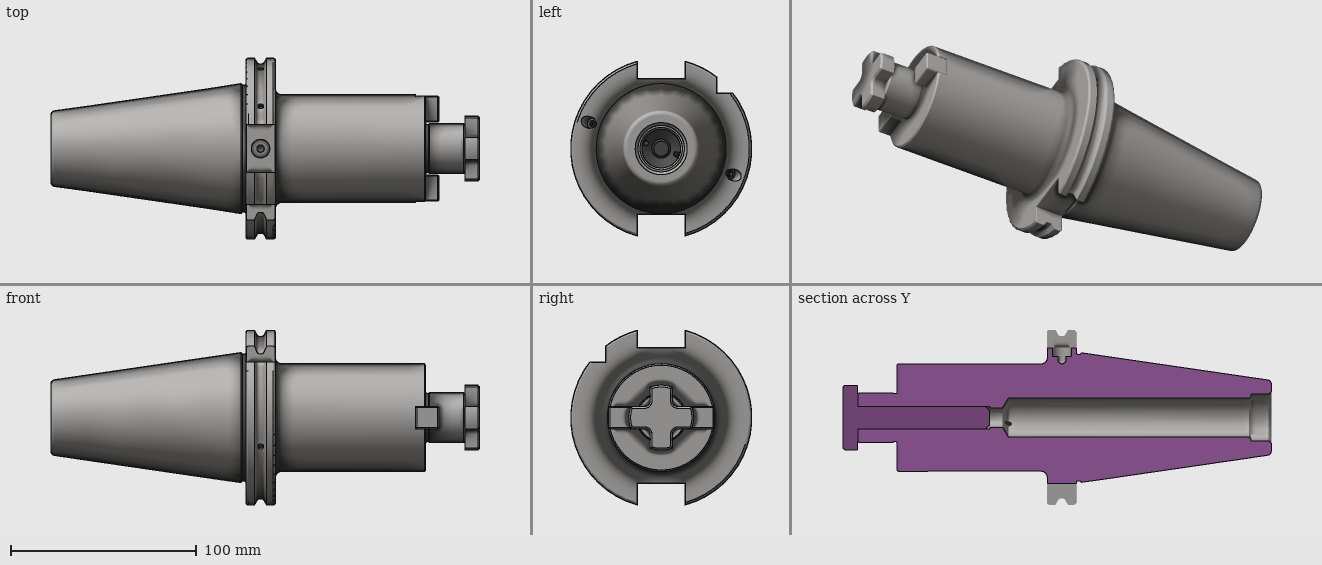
import cadquery as cq
import math


gauge_radius = 69.85 / 2
taper_length = 101.75
taper_ratio = 7 / 48
small_end_radius = gauge_radius - taper_length * taper_ratio
small_end_fillet = 2.5
taper_end = 0.6
relief_depth = 0.7

flange_radius = 97.5 / 2
flange_front = 3.2
flange_width = 15.9
flange_back = flange_front + flange_width
flange_fillet = 1.3
groove_center = 11.1
groove_bottom_radius = 91.25 / 2
groove_half_width = 3.3
groove_wall_angle = 30
groove_fillet = 1.4

slot_width = 25.7
upper_slot_floor = 37.7
lower_slot_floor = 35.5
notch_wall = 30.0
notch_floor = 30.0
slot_edge_chamfer = 0.3
slot_overrun = 1.0

chip_hole_diameter = 10.0
chip_hole_depth = 4.6
chip_pilot_diameter = 4.0
chip_pilot_depth = 3.0
drill_point_angle = 118

body_radius = 29.0
body_front = 100.0
body_chamfer = 0.8
body_fillet = 3.3
spigot_radius = 27.0 / 2
spigot_length = 21.0
spigot_front = body_front + spigot_length
spigot_chamfer = 0.7
undercut_width = 2.0
undercut_depth = 0.5

pilot_radius = 12.5
pilot_depth = 11.0
mouth_chamfer = 1.5
thread_radius = 10.4
thread_chamfer = 1.0
passage_radius = 5.1
bore_cone_end = 43.0

screw_radius = 6.0
screw_tip = 50.0
screw_tip_chamfer = 2.0
head_radius = 17.5
head_thickness = 8.0
head_chamfer = 1.0
lobe_width = 12.0
lobe_fillet = 3.0

key_width = 12.0
key_inner = 14.2
key_outer = 28.3
key_back = 94.6
key_front = 107.0
key_edge_chamfer = 0.6

channel_angle = 20
channel_tilt = 40
channel_radius_at_flange = 41.6
channel_end_radius = 8.5
channel_diameter = 3.2
plug_diameter = 6.2
plug_recess = 3.0
plug_length = 5.0
socket_across_corners = 3.5
socket_depth = 2.5
radial_hole_diameter = 3.0
radial_hole_depth = 3.0
radial_hole_angles = (channel_angle, channel_angle + 180, 60)

axis_start = (0, 0, 0)
axis_end = (1, 0, 0)


def x_cylinder(start, end, radius):
    return cq.Workplane("YZ", origin=(start, 0, 0)).circle(radius).extrude(end - start)


def turn(profile):
    return profile.close().revolve(360, axis_start, axis_end)


def about_axis(shape, angle):
    return shape.rotate(axis_start, axis_end, angle)


def box_between(low, high):
    size = [b - a for a, b in zip(low, high)]
    return cq.Workplane("XY").box(*size, centered=False).translate(low)


def taper_and_front():
    """Taper, core of the flange, front body and spigot as one turned shape."""
    relief_radius = gauge_radius - relief_depth
    undercut_radius = spigot_radius - undercut_depth
    taper_end_radius = gauge_radius + taper_end * taper_ratio
    profile = (
        cq.Workplane("XZ")
        .moveTo(-taper_length, 0)
        .lineTo(-taper_length, small_end_radius)
        .lineTo(taper_end, taper_end_radius)
        .lineTo(taper_end + relief_depth, relief_radius)
        .lineTo(flange_front - relief_depth, relief_radius)
        .radiusArc((flange_front, gauge_radius), -relief_depth)
        .lineTo(flange_back, gauge_radius)
        .lineTo(flange_back, body_radius + body_fillet)
        .radiusArc((flange_back + body_fillet, body_radius), -body_fillet)
        .lineTo(body_front - body_chamfer, body_radius)
        .lineTo(body_front, body_radius - body_chamfer)
        .lineTo(body_front, spigot_radius)
        .radiusArc((body_front + undercut_depth, undercut_radius), -undercut_depth)
        .lineTo(body_front + undercut_width - undercut_depth, undercut_radius)
        .lineTo(body_front + undercut_width, spigot_radius)
        .lineTo(spigot_front - spigot_chamfer, spigot_radius)
        .lineTo(spigot_front, spigot_radius - spigot_chamfer)
        .lineTo(spigot_front, 0)
    )
    return turn(profile).faces("<X").edges().fillet(small_end_fillet)


def groove():
    """Ring cutter for the V groove with its rounded bottom corners."""
    wall_slope = math.tan(math.radians(groove_wall_angle))
    depth = flange_radius - groove_bottom_radius
    bottom_half_width = groove_half_width - depth * wall_slope
    cutter_radius = flange_radius + flange_fillet
    top_half_width = groove_half_width + flange_fillet * wall_slope
    ring = turn(
        cq.Workplane("XZ")
        .moveTo(groove_center - top_half_width, cutter_radius)
        .lineTo(groove_center - bottom_half_width, groove_bottom_radius)
        .lineTo(groove_center + bottom_half_width, groove_bottom_radius)
        .lineTo(groove_center + top_half_width, cutter_radius)
    )
    on_bottom = cq.selectors.RadiusNthSelector(0)
    bottom_edges = ring.edges("%CIRCLE").edges(
        cq.selectors.BoxSelector(
            (groove_center - groove_half_width, -cutter_radius, -cutter_radius),
            (groove_center + groove_half_width, cutter_radius, cutter_radius),
        )
    )
    return bottom_edges.edges(on_bottom).fillet(groove_fillet)


def flared_cutter(low_y, high_y, low_z, high_z):
    """Block through the flange that widens at both faces to break the slot's edges."""
    block = box_between((flange_front, low_y, low_z), (flange_back, high_y, high_z))
    width = high_y - low_y + 2 * slot_edge_chamfer
    height = high_z - low_z + 2 * slot_edge_chamfer
    middle = ((low_y + high_y) / 2, (low_z + high_z) / 2)
    for face_x, inward in ((flange_front, 1), (flange_back, -1)):
        plane = cq.Plane(origin=(face_x, *middle), xDir=(0, 1, 0), normal=(inward, 0, 0))
        flare = cq.Workplane(plane).rect(width, height).extrude(slot_edge_chamfer, taper=45)
        block = block.union(flare)
    return block


def flange_cutters():
    """Upper and lower slots and the corner notch, each right through the flange."""
    half = slot_width / 2
    far = flange_radius + slot_overrun
    return [
        flared_cutter(-half, half, upper_slot_floor, far),
        flared_cutter(-half, half, -far, -lower_slot_floor),
        flared_cutter(-far, -notch_wall, notch_floor, far),
    ]


def flange():
    ring = x_cylinder(flange_front, flange_back, flange_radius).edges().fillet(flange_fillet)
    ring = ring.cut(groove())
    for cutter in flange_cutters():
        ring = ring.cut(cutter)
    return ring


def rear_bore():
    """Pilot bore, thread bore, drill cone and passage up to the screw hole."""
    pilot_end = pilot_depth - taper_length
    point_slope = math.tan(math.radians(drill_point_angle / 2))
    cone_start = bore_cone_end - (thread_radius - passage_radius) / point_slope
    return turn(
        cq.Workplane("XZ")
        .moveTo(-taper_length, 0)
        .lineTo(-taper_length, pilot_radius + mouth_chamfer)
        .lineTo(mouth_chamfer - taper_length, pilot_radius)
        .lineTo(pilot_end, pilot_radius)
        .lineTo(pilot_end, thread_radius + thread_chamfer)
        .lineTo(pilot_end + thread_chamfer, thread_radius)
        .lineTo(cone_start, thread_radius)
        .lineTo(bore_cone_end, passage_radius)
        .lineTo(screw_tip, passage_radius)
        .lineTo(screw_tip, 0)
    )


def chip_hole():
    pilot_floor = upper_slot_floor - chip_hole_depth - chip_pilot_depth
    pilot_hole_radius = chip_pilot_diameter / 2
    point_depth = pilot_hole_radius / math.tan(math.radians(drill_point_angle / 2))
    profile = (
        cq.Workplane("XZ")
        .moveTo(0, upper_slot_floor)
        .lineTo(chip_hole_diameter / 2, upper_slot_floor)
        .lineTo(chip_hole_diameter / 2, upper_slot_floor - chip_hole_depth)
        .lineTo(pilot_hole_radius, upper_slot_floor - chip_hole_depth)
        .lineTo(pilot_hole_radius, pilot_floor)
        .lineTo(0, pilot_floor - point_depth)
        .close()
    )
    return profile.revolve(360, (0, 0, 0), (0, 1, 0)).translate((groove_center, 0, 0))


def channel_plane():
    """Plane at the channel mouth on the +Y side, with its normal running into the part."""
    tilt = math.radians(channel_tilt)
    return cq.Plane(
        origin=(flange_front, channel_radius_at_flange, 0),
        xDir=(0, 0, 1),
        normal=(math.cos(tilt), -math.sin(tilt), 0),
    )


def channel():
    """Inclined hole from the flange face into the bore, widened at its mouth for the plug."""
    channel_drop = channel_radius_at_flange - channel_end_radius
    length = channel_drop / math.sin(math.radians(channel_tilt))
    seat_end = plug_recess + plug_length
    overrun = plug_diameter
    seat = cq.Workplane(channel_plane()).workplane(offset=-overrun)
    seat = seat.circle(plug_diameter / 2).extrude(seat_end + overrun)
    return cq.Workplane(channel_plane()).circle(channel_diameter / 2).extrude(length).union(seat)


def plug_screw(angle):
    top = cq.Workplane(channel_plane()).workplane(offset=plug_recess)
    plug = top.circle(plug_diameter / 2).extrude(plug_length)
    plug = plug.cut(top.polygon(6, socket_across_corners).extrude(socket_depth))
    return about_axis(plug, angle)


def radial_hole(angle):
    start = groove_bottom_radius - radial_hole_depth
    hole = (
        cq.Workplane("XZ", origin=(groove_center, start, 0))
        .circle(radial_hole_diameter / 2)
        .extrude(start - flange_radius)
    )
    return about_axis(hole, angle)


def key_block():
    half = key_width / 2
    return box_between((key_back, -key_outer, -half), (key_front, -key_inner, half))


def key_slot():
    """Slot in the front face of the body, open outwards, that seats one drive key."""
    half = key_width / 2
    return box_between((key_back, -body_radius, -half), (body_front, -key_inner, half))


def drive_key(angle):
    return about_axis(key_block().edges().chamfer(key_edge_chamfer), angle)


def retaining_screw():
    """Screw with a four-lobed head against the end of the spigot."""
    shank = x_cylinder(screw_tip, spigot_front, screw_radius)
    shank = shank.faces("<X").edges().chamfer(screw_tip_chamfer)
    head_end = spigot_front + head_thickness
    blank = x_cylinder(spigot_front, head_end, head_radius)
    reach = 2 * head_radius + lobe_width
    face = cq.Workplane("YZ", origin=(spigot_front, 0, 0))
    cross = face.rect(reach, lobe_width).extrude(head_thickness)
    cross = cross.union(face.rect(lobe_width, reach).extrude(head_thickness))
    near_axis = cq.selectors.BoxSelector(
        (spigot_front, -lobe_width, -lobe_width), (head_end, lobe_width, lobe_width)
    )
    cross = cross.edges("|X").edges(near_axis).fillet(lobe_fillet)
    head = blank.intersect(cross).faces(">X").edges().chamfer(head_chamfer)
    return head.union(shank)


def holder_body():
    body = taper_and_front().union(flange())
    body = body.cut(rear_bore())
    body = body.cut(x_cylinder(screw_tip, spigot_front, screw_radius))
    body = body.cut(chip_hole())
    for angle in (0, 180):
        body = body.cut(about_axis(channel(), channel_angle + angle))
        body = body.cut(about_axis(key_slot(), angle))
    for angle in radial_hole_angles:
        body = body.cut(radial_hole(angle))
    return body


holder = holder_body()
screw = retaining_screw()
keys = [drive_key(angle) for angle in (0, 180)]
plugs = [plug_screw(channel_angle + angle) for angle in (0, 180)]

result = cq.Compound.makeCompound([
    holder.val(),
    screw.val(),
    *[key.val() for key in keys],
    *[plug.val() for plug in plugs],
])